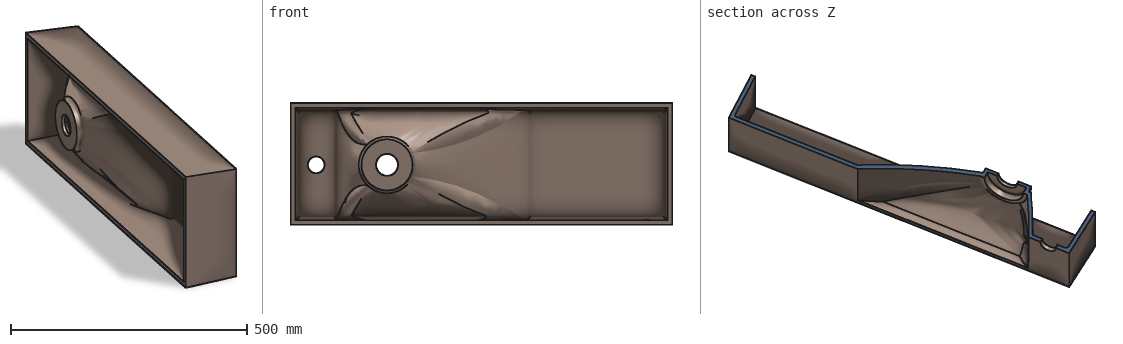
import cadquery as cq
import math

LENGTH = 800.0
HEIGHT = 250.0
DEPTH = 120.0
END_DRAFT = 2.0
TOP_DRAFT = 3.0
BOTTOM_DRAFT = 1.0
WALL = 10.0
DECK = 10.0
INNER_FILLET = 5.0
MID_Z = HEIGHT / 2

TAP_X = 50.0
TAP_DIAMETER = 35.0
MOUNT_X = 750.0
MOUNT_Y = 70.0
MOUNT_DIAMETER = 10.0

DRAIN_X = 200.0
DRAIN_DIAMETER = 46.0
BOSS_DIAMETER = 108.0
BOSS_HEIGHT = 14.0
BOWL_FLOOR_DIAMETER = 120.0
BOSS_FLARE = 5.0
DRAIN_RECESS_DIAMETER = 90.0
DRAIN_FLOOR = 8.0

DECK_LEVEL = DEPTH - DECK
BOWL_LEFT = 91.0
BOWL_RIGHT = 502.0
BOWL_HALF_HEIGHT = 125.0
BOWL_CORNER_LEFT = 30.0
BOWL_CORNER_RIGHT = 20.0
BOWL_CORNER_Z = 1.0
BELLY_LEVEL = 84.0
BELLY_LEFT = 103.0
BELLY_RIGHT = 450.0
BELLY_HALF_HEIGHT = 118.0
BELLY_CORNER_LEFT = 18.0
BELLY_CORNER_RIGHT = 8.0
BELLY_CORNER_Z = 28.0
BOWL_SHRINK = 5.0
ARC_MIDDLE = 1 - math.sqrt(0.5)


def xz_plane(y):
    """Plane at height y whose local axes are the part's X and Z."""
    return cq.Plane(origin=(0, y, 0), xDir=(1, 0, 0), normal=(0, -1, 0))


def tray_block(inset, depth):
    """Drafted box inset from the outer walls, from the rim up to the given depth."""
    def outline(y):
        rise = DEPTH - y
        end = rise * math.tan(math.radians(END_DRAFT)) - inset
        top = HEIGHT + rise * math.tan(math.radians(TOP_DRAFT)) - inset
        bottom = -rise * math.tan(math.radians(BOTTOM_DRAFT)) + inset
        corners = [(-end, bottom), (LENGTH + end, bottom), (LENGTH + end, top), (-end, top)]
        points = [cq.Vector(x, y, z) for x, z in corners]
        return cq.Wire.makePolygon(points, close=True)

    return cq.Workplane(cq.Solid.makeLoft([outline(0), outline(depth)], True))


def ring_point(radius, angle):
    turn = math.radians(angle)
    return DRAIN_X + radius * math.cos(turn), MID_Z + radius * math.sin(turn)


def rounded_section(y, left, right, half_height, corner_left, corner_right, corner_z):
    """Rectangle with rounded corners at height y, starting at the lower end of its right side."""
    bottom = MID_Z - half_height
    top = MID_Z + half_height
    bevel_left = corner_left * ARC_MIDDLE
    bevel_right = corner_right * ARC_MIDDLE
    bevel_z = corner_z * ARC_MIDDLE
    return (
        cq.Workplane(xz_plane(y))
        .moveTo(right, bottom + corner_z)
        .lineTo(right, top - corner_z)
        .threePointArc((right - bevel_right, top - bevel_z), (right - corner_right, top))
        .lineTo(left + corner_left, top)
        .threePointArc((left + bevel_left, top - bevel_z), (left, top - corner_z))
        .lineTo(left, bottom + corner_z)
        .threePointArc((left + bevel_left, bottom + bevel_z), (left + corner_left, bottom))
        .lineTo(right - corner_right, bottom)
        .threePointArc((right - bevel_right, bottom + bevel_z), (right, bottom + corner_z))
        .close()
        .val()
    )


def ring_section(y, radius):
    """Circle around the drain, split into arcs that match the rounded rectangles."""
    splits = [-25, 25, 28, 129, 133, 227, 231, 332, 335]
    ring = cq.Workplane(xz_plane(y)).moveTo(*ring_point(radius, splits[0]))
    for start, end in zip(splits, splits[1:]):
        ring = ring.threePointArc(ring_point(radius, (start + end) / 2), ring_point(radius, end))
    return ring.close().val()


def bowl_block(shrink, rise):
    """Bowl shape with its outlines shrunk and moved towards the deck."""
    sections = [
        rounded_section(DECK_LEVEL + rise, BOWL_LEFT + shrink, BOWL_RIGHT - shrink,
                        BOWL_HALF_HEIGHT - shrink, BOWL_CORNER_LEFT, BOWL_CORNER_RIGHT, BOWL_CORNER_Z),
        rounded_section(BELLY_LEVEL + rise, BELLY_LEFT + shrink, BELLY_RIGHT - shrink,
                        BELLY_HALF_HEIGHT - shrink, BELLY_CORNER_LEFT, BELLY_CORNER_RIGHT, BELLY_CORNER_Z),
        ring_section(BOSS_HEIGHT + rise, BOWL_FLOOR_DIAMETER / 2 - shrink),
    ]
    return cq.Workplane(cq.Solid.makeLoft(sections, False))


def cylinder_y(x, diameter, depth, start=0):
    """Cylinder along Y at mid height, between two depths measured from the rim plane."""
    return (
        cq.Workplane(xz_plane(start))
        .center(x, MID_Z)
        .circle(diameter / 2)
        .extrude(start - depth)
    )


def mount_hole():
    """Hole along Z through the -Z wall."""
    return (
        cq.Workplane("XY")
        .center(MOUNT_X, MOUNT_Y)
        .circle(MOUNT_DIAMETER / 2)
        .extrude(MID_Z, both=True)
    )


def drain_boss():
    """Round boss with a flared foot, from the rim plane to the bowl."""
    radius = BOSS_DIAMETER / 2
    foot = radius + BOSS_FLARE
    flare_start = BOSS_HEIGHT - BOSS_FLARE
    bevel = BOSS_FLARE * ARC_MIDDLE
    boss = (
        cq.Workplane("XY")
        .lineTo(radius, 0)
        .lineTo(radius, flare_start)
        .threePointArc((radius + bevel, BOSS_HEIGHT - bevel), (foot, BOSS_HEIGHT))
        .lineTo(foot, BOSS_HEIGHT + BOSS_FLARE)
        .lineTo(0, BOSS_HEIGHT + BOSS_FLARE)
        .close()
        .revolve(360, (0, 0, 0), (0, 1, 0))
    )
    return boss.translate((DRAIN_X, 0, MID_Z))


def tray_hollow():
    """Space under the deck and around the bowl, with its inner corners rounded."""
    space = tray_block(WALL, DECK_LEVEL).cut(bowl_block(0, 0))
    foot = cq.selectors.BoxSelector((BOWL_LEFT, BELLY_LEVEL - 15, -HEIGHT),
                                    (BOWL_RIGHT, BELLY_LEVEL + 5, 2 * HEIGHT))
    bowl_feet = [e for e in space.edges(foot).vals() if e.Length() > (BELLY_RIGHT - BELLY_LEFT) / 2
                 and e.BoundingBox().zlen < WALL]
    deck_box = cq.selectors.BoxSelector((-1, DECK_LEVEL - 1, -9), (LENGTH, DEPTH, 2 * HEIGHT))
    deck_edges = space.edges(deck_box).vals()
    return space.newObject(deck_edges + bowl_feet).fillet(INNER_FILLET)


def basin():
    """Hollow of the bowl, open through the deck."""
    return bowl_block(BOWL_SHRINK, DECK).intersect(tray_block(WALL, DEPTH))


tray = tray_block(0, DEPTH).cut(tray_hollow()).union(drain_boss()).cut(basin())
tray = tray.cut(cylinder_y(DRAIN_X, DRAIN_RECESS_DIAMETER, BOSS_HEIGHT + 2 * DECK, DRAIN_FLOOR))
tray = tray.cut(cylinder_y(DRAIN_X, DRAIN_DIAMETER, DEPTH))
tray = tray.cut(cylinder_y(TAP_X, TAP_DIAMETER, DEPTH))
result = tray.cut(mount_hole())